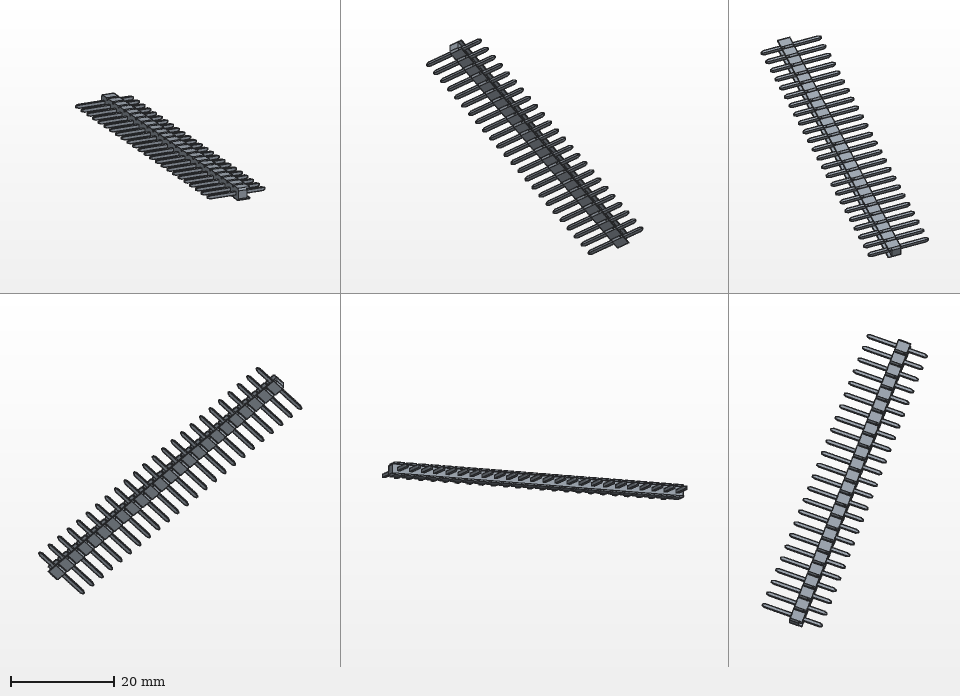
import cadquery as cq

pin_count = 24
total_length = 60.95
pitch = total_length / pin_count

housing_height = 2.5
body_depth = 1.8
standoff_depth = 0.7
standoff_height = 0.3
bevel_width = 0.3
bevel_height = 0.4

pin_width = pitch / 4
pin_length = 12.4
pin_front_reach = 6.1
pin_offset = -0.09
tip_length = 0.55
tip_width = 0.3

half_height = housing_height / 2
shoulder = half_height - bevel_height


def cell_center(index):
    """X of a cell's middle, with the strip centred on the origin."""
    return (index - (pin_count - 1) / 2) * pitch


def housing():
    """Strip of cells parted by V-notches, with standoff ridges behind its top and bottom."""
    crown = [(-total_length / 2, shoulder)]
    for index in range(pin_count):
        x = cell_center(index)
        crown.append((x - pitch / 2 + bevel_width, half_height))
        crown.append((x + pitch / 2 - bevel_width, half_height))
        crown.append((x + pitch / 2, shoulder))
    base = [(x, -z) for x, z in reversed(crown)]
    depth = body_depth + standoff_depth
    strip = cq.Workplane("XZ").polyline(crown + base).close().extrude(-depth)

    channel_height = housing_height - 2 * standoff_height
    channel = cq.Workplane("XY").box(total_length, standoff_depth, channel_height)
    return strip.cut(channel.translate((0, body_depth + standoff_depth / 2, 0)))


def pin():
    """A square pin along Y with a tapered tip at each end."""
    shank_half = pin_length / 2 - tip_length
    shank = cq.Workplane("XY").box(pin_width, 2 * shank_half, pin_width)
    tip = (
        cq.Workplane("XZ", origin=(0, -shank_half, 0))
        .rect(pin_width, pin_width)
        .workplane(offset=tip_length)
        .rect(tip_width, tip_width)
        .loft(ruled=True)
    )
    whole = shank.union(tip).union(tip.mirror("XZ"))
    return whole.translate((pin_offset, pin_length / 2 - pin_front_reach, 0))


result = housing()
single_pin = pin()
for index in range(pin_count):
    result = result.union(single_pin.translate((cell_center(index), 0, 0)))